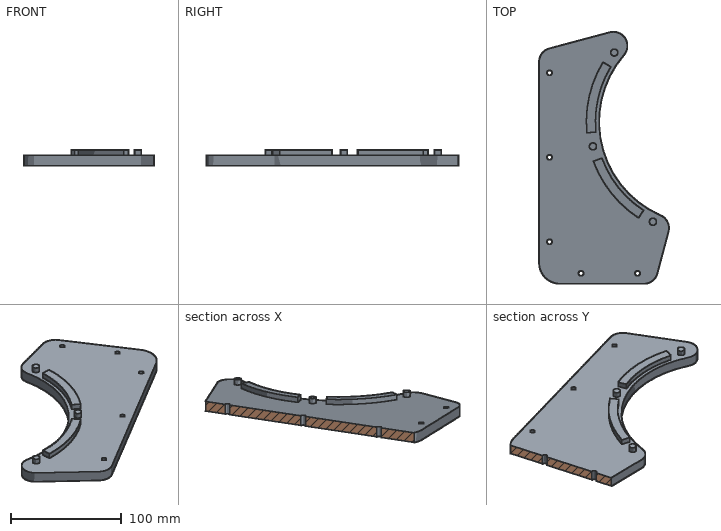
import cadquery as cq
import math

length_x = 117.3
length_y = 227.4
plate_thickness = 9.5
raised_height = 4.8

bay_center = (146.2, 146.2)
bay_radius = 91.9
tip_radius = 12.7
small_corner_radius = tip_radius
large_corner_radius = 19.0
edge_slant = 15.0

peg_diameter = 6.4
peg_circle_radius = 100.0
peg_pitch = 360.0 / 7
middle_peg_angle = 180.0 + peg_pitch / 4
peg_angles = [middle_peg_angle + step * peg_pitch for step in (-1, 0, 1)]
pad_inner_radius = 95.3
pad_outer_radius = 103.5
peg_to_pad_angle = 7.3

hole_diameter = 4.3
hole_inset = 9.5
first_hole_distance = 38.0
left_hole_pitch = 76.2
left_hole_count = 3
lower_hole_pitch = 51.0
lower_hole_count = 2


def polar(center, radius, angle):
    """Point at a radius and an angle in degrees from a center."""
    turn = math.radians(angle)
    return (center[0] + radius * math.cos(turn), center[1] + radius * math.sin(turn))


def angle_between(start, end):
    """Direction in degrees, 0 to 360, from one point to another."""
    return math.degrees(math.atan2(end[1] - start[1], end[0] - start[0])) % 360


def make_plate():
    center_distance = bay_radius + tip_radius
    lower_x = length_x - tip_radius
    upper_y = length_y - tip_radius
    lower_y = bay_center[1] - math.sqrt(center_distance**2 - (bay_center[0] - lower_x) ** 2)
    upper_x = bay_center[0] - math.sqrt(center_distance**2 - (upper_y - bay_center[1]) ** 2)
    lower_tip = (lower_x, lower_y)
    upper_tip = (upper_x, upper_y)

    slope = math.tan(math.radians(edge_slant))
    lower_start = polar(lower_tip, tip_radius, -edge_slant)
    upper_end = polar(upper_tip, tip_radius, 90 + edge_slant)
    lower_right = (lower_start[0] - slope * lower_start[1], 0)
    upper_left = (0, upper_end[1] - slope * upper_end[0])

    lower_bay_angle = angle_between(bay_center, lower_tip)
    upper_bay_angle = angle_between(bay_center, upper_tip)
    middle_bay_angle = (lower_bay_angle + upper_bay_angle) / 2

    plate = (
        cq.Workplane("XY")
        .lineTo(*lower_right)
        .lineTo(*lower_start)
        .threePointArc(
            polar(lower_tip, tip_radius, (lower_bay_angle - 180 - edge_slant) / 2),
            polar(bay_center, bay_radius, lower_bay_angle),
        )
        .threePointArc(
            polar(bay_center, bay_radius, middle_bay_angle),
            polar(bay_center, bay_radius, upper_bay_angle),
        )
        .threePointArc(
            polar(upper_tip, tip_radius, (upper_bay_angle - 180 + 90 + edge_slant) / 2),
            upper_end,
        )
        .lineTo(*upper_left)
        .close()
        .extrude(plate_thickness)
    )
    corners = [
        ((0, 0), large_corner_radius),
        (lower_right, small_corner_radius),
        (upper_left, small_corner_radius),
    ]
    for (x, y), radius in corners:
        corner_edge = cq.selectors.NearestToPointSelector((x, y, plate_thickness / 2))
        plate = plate.edges("|Z").edges(corner_edge).fillet(radius)
    return plate


def make_pegs():
    centers = [polar(bay_center, peg_circle_radius, angle) for angle in peg_angles]
    return (
        cq.Workplane("XY")
        .pushPoints(centers)
        .circle(peg_diameter / 2)
        .extrude(plate_thickness + raised_height)
    )


def make_pad(start_angle, end_angle):
    middle_angle = (start_angle + end_angle) / 2
    return (
        cq.Workplane("XY")
        .moveTo(*polar(bay_center, pad_inner_radius, start_angle))
        .threePointArc(
            polar(bay_center, pad_inner_radius, middle_angle),
            polar(bay_center, pad_inner_radius, end_angle),
        )
        .lineTo(*polar(bay_center, pad_outer_radius, end_angle))
        .threePointArc(
            polar(bay_center, pad_outer_radius, middle_angle),
            polar(bay_center, pad_outer_radius, start_angle),
        )
        .close()
        .extrude(plate_thickness + raised_height)
    )


def make_holes():
    left = [(hole_inset, first_hole_distance + i * left_hole_pitch) for i in range(left_hole_count)]
    lower = [(first_hole_distance + i * lower_hole_pitch, hole_inset) for i in range(lower_hole_count)]
    return cq.Workplane("XY").pushPoints(left + lower).circle(hole_diameter / 2).extrude(plate_thickness)


result = make_plate().union(make_pegs())
for first_peg, next_peg in zip(peg_angles, peg_angles[1:]):
    result = result.union(make_pad(first_peg + peg_to_pad_angle, next_peg - peg_to_pad_angle))
result = result.cut(make_holes())